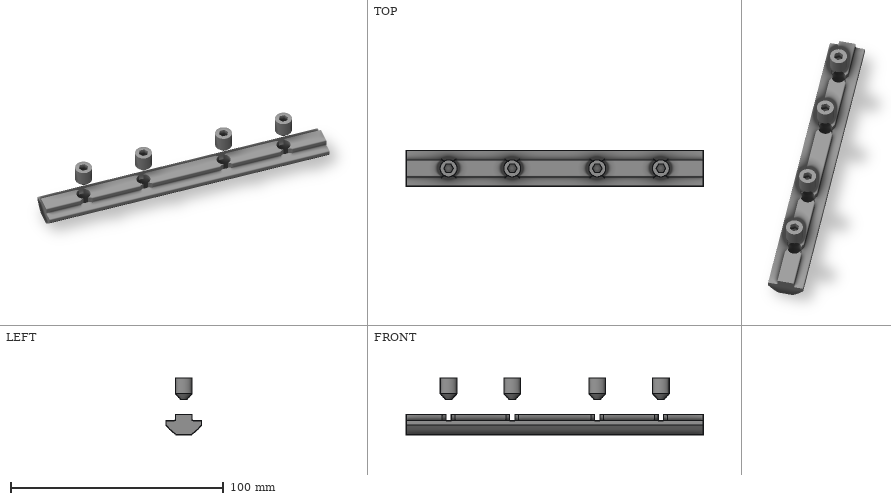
import cadquery as cq
import math

rail_length = 140.0
rail_width = 17.0
rail_height = 9.7
stem_width = 8.0
stem_height = 3.0
side_height = 2.1
bottom_width = 7.1
belly_bulge = 0.22
stem_edge_radius = 0.5
shoulder_edge_radius = 0.5
root_radius = 0.4

hole_diameter = 6.6
inner_hole_spacing = 40.0
outer_hole_spacing = 100.0
flare_radius = 4.8
flare_mouth = 6.0

overall_height = 26.7
screw_diameter = 8.0
screw_length = 10.2
tip_diameter = 2.7
tip_height = 2.8
socket_across_flats = 3.9
socket_depth = 4.0

shoulder_z = rail_height - stem_height
side_bottom_z = shoulder_z - side_height
hole_positions = [
    -outer_hole_spacing / 2,
    -inner_hole_spacing / 2,
    inner_hole_spacing / 2,
    outer_hole_spacing / 2,
]


def belly_arc_middle():
    """Middle point of the convex belly on the +Y side, as (y, z)."""
    chord_run = (rail_width - bottom_width) / 2
    chord_length = math.hypot(chord_run, side_bottom_z)
    y = (rail_width + bottom_width) / 4 + belly_bulge * side_bottom_z / chord_length
    z = side_bottom_z / 2 - belly_bulge * chord_run / chord_length
    return y, z


def make_half_profile():
    """The +Y half of the rail as a bar, with sharp edges."""
    return (
        cq.Workplane("YZ", origin=(-rail_length / 2, 0, 0))
        .lineTo(bottom_width / 2, 0)
        .threePointArc(belly_arc_middle(), (rail_width / 2, side_bottom_z))
        .lineTo(rail_width / 2, shoulder_z)
        .lineTo(stem_width / 2, shoulder_z)
        .lineTo(stem_width / 2, rail_height)
        .lineTo(0, rail_height)
        .close()
        .extrude(rail_length)
    )


def round_long_edges(bar, half_width, z, radius):
    """Fillet the two edges along X at the given height, one on each side."""
    for y in (-half_width, half_width):
        bar = bar.edges(cq.selectors.NearestToPointSelector((0, y, z))).fillet(radius)
    return bar


def make_bar():
    half = make_half_profile()
    bar = half.union(half.mirror("XZ")).clean()
    bar = round_long_edges(bar, stem_width / 2, rail_height, stem_edge_radius)
    bar = round_long_edges(bar, rail_width / 2, shoulder_z, shoulder_edge_radius)
    return round_long_edges(bar, stem_width / 2, shoulder_z, root_radius)


def make_hole_cutter(x):
    return cq.Workplane("XY").center(x, 0).circle(hole_diameter / 2).extrude(rail_height)


def make_flare_cutter(x, side):
    """Upright cylinder that hollows one side of the stem down to the shoulder."""
    axis_outside_stem = math.sqrt(flare_radius**2 - (flare_mouth / 2) ** 2)
    axis_y = side * (stem_width / 2 + axis_outside_stem)
    return (
        cq.Workplane("XY", origin=(x, axis_y, shoulder_z))
        .circle(flare_radius)
        .extrude(stem_height)
    )


def make_rail():
    rail = make_bar()
    for x in hole_positions:
        rail = rail.cut(make_hole_cutter(x))
        for side in (-1, 1):
            rail = rail.cut(make_flare_cutter(x, side))
    return rail


def make_screw(x):
    """Set screw with a cone point below and a hexagon socket on top."""
    bottom_z = overall_height - screw_length
    screw = (
        cq.Workplane("XZ")
        .moveTo(0, bottom_z)
        .lineTo(tip_diameter / 2, bottom_z)
        .lineTo(screw_diameter / 2, bottom_z + tip_height)
        .lineTo(screw_diameter / 2, overall_height)
        .lineTo(0, overall_height)
        .close()
        .revolve(360, (0, 0), (0, 1))
    )
    socket = (
        cq.Workplane("XY", origin=(0, 0, overall_height - socket_depth))
        .polygon(6, socket_across_flats / math.cos(math.pi / 6))
        .extrude(socket_depth)
    )
    return screw.cut(socket).translate((x, 0, 0))


rail = make_rail()
screws = [make_screw(x) for x in hole_positions]
result = cq.Compound.makeCompound([rail.val(), *[screw.val() for screw in screws]])